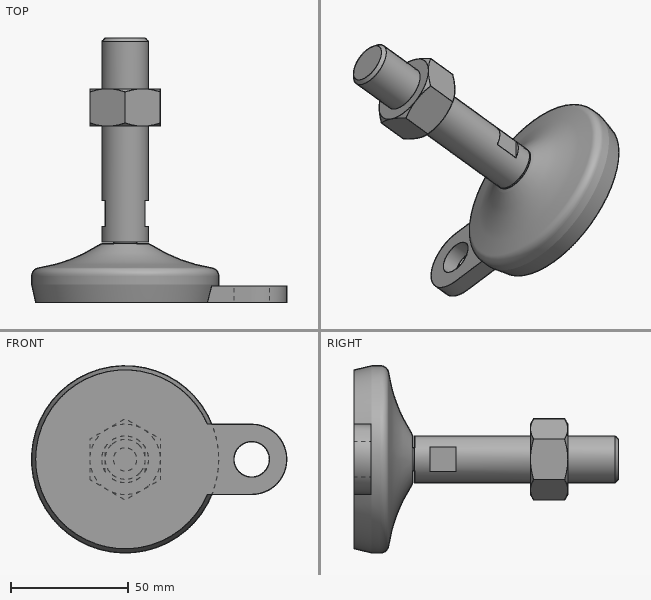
import cadquery as cq
import math

total_length = 113.0

foot_radius = 40.0
base_radius = 38.2
taper_height = 7.7
rim_height = 11.3
shoulder_round = 3.6
shoulder_slope_angle = 9.0
collar_radius = 11.4
collar_height = 24.5
foot_top_radius = 10.0
foot_height = 25.2

lug_radius = 15.0
lug_reach = 69.0
lug_thickness = 7.2
lug_hole_diameter = 15.0

stud_diameter = 20.0
stud_start = 25.9
stud_chamfer = 1.5
neck_diameter = 10.0
wrench_flat_width = 17.1
wrench_flat_start = 32.5
wrench_flat_length = 11.1

nut_across_flats = 30.1
nut_height = 15.9
nut_start = 75.4
nut_chamfer_angle = 30.0


def rod(diameter, start, length):
    """Cylinder on the Y axis, running towards +Y from start."""
    plane = cq.Workplane("XZ", origin=(0, start, 0))
    return plane.circle(diameter / 2).extrude(-length)


def make_foot():
    """Tapered base, rounded rim and concave dome, revolved about Y."""
    slope = math.radians(shoulder_slope_angle)
    round_center_radius = foot_radius - shoulder_round
    shoulder_radius = round_center_radius + shoulder_round * math.sin(slope)
    shoulder_height = rim_height + shoulder_round * math.cos(slope)
    return (
        cq.Workplane("XY")
        .lineTo(base_radius, 0)
        .lineTo(foot_radius, taper_height)
        .lineTo(foot_radius, rim_height)
        .tangentArcPoint((shoulder_radius, shoulder_height), relative=False)
        .tangentArcPoint((collar_radius, collar_height), relative=False)
        .lineTo(foot_top_radius, foot_height)
        .lineTo(0, foot_height)
        .close()
        .revolve(360, (0, 0, 0), (0, 1, 0))
    )


def make_lug():
    """Round-ended lug, running from the foot's axis towards +X."""
    hole_x = lug_reach - lug_radius
    return (
        cq.Workplane("XZ")
        .moveTo(0, -lug_radius)
        .lineTo(hole_x, -lug_radius)
        .threePointArc((lug_reach, 0), (hole_x, lug_radius))
        .lineTo(0, lug_radius)
        .close()
        .moveTo(hole_x, 0)
        .circle(lug_hole_diameter / 2)
        .extrude(-lug_thickness)
    )


def make_stud():
    """Chamfered stud with two wrench flats and a neck into the foot."""
    stud = rod(stud_diameter, stud_start, total_length - stud_start)
    stud = stud.faces(">Y").chamfer(stud_chamfer)
    for side in (-1, 1):
        cutter = cq.Workplane("XY").box(stud_diameter, wrench_flat_length, stud_diameter)
        cutter_x = side * (wrench_flat_width + stud_diameter) / 2
        cutter_y = wrench_flat_start + wrench_flat_length / 2
        stud = stud.cut(cutter.translate((cutter_x, cutter_y, 0)))
    return stud.union(rod(neck_diameter, 0, stud_start))


def make_nut():
    """Hex nut with corners on +Z and -Z and conical chamfers at both ends."""
    corner_radius = nut_across_flats / 2 / math.cos(math.radians(30))
    face_radius = nut_across_flats / 2
    chamfer_height = (corner_radius - face_radius) * math.tan(math.radians(nut_chamfer_angle))
    nut_end = nut_start + nut_height
    hexagon = (
        cq.Workplane("XZ", origin=(0, nut_start, 0))
        .transformed(rotate=(0, 0, 90))
        .polygon(6, 2 * corner_radius)
        .extrude(-nut_height)
    )
    chamfer_envelope = (
        cq.Workplane("XY")
        .moveTo(0, nut_start)
        .lineTo(face_radius, nut_start)
        .lineTo(corner_radius, nut_start + chamfer_height)
        .lineTo(corner_radius, nut_end - chamfer_height)
        .lineTo(face_radius, nut_end)
        .lineTo(0, nut_end)
        .close()
        .revolve(360, (0, 0, 0), (0, 1, 0))
    )
    return hexagon.intersect(chamfer_envelope)


result = make_foot().union(make_lug()).union(make_stud()).union(make_nut())